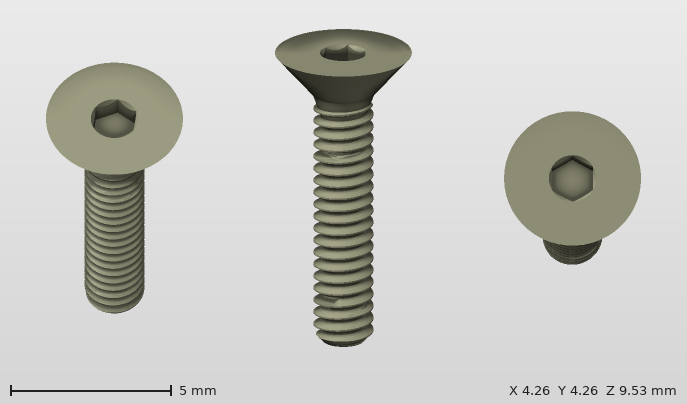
import cadquery as cq
import math

length = 9.53

head_radius = 2.13
head_angle = 82.0
head_bottom_z = 8.19
head_cone_drop = length - head_bottom_z
head_bottom_radius = head_radius - head_cone_drop * math.tan(math.radians(head_angle / 2))

neck_radius = 0.92
neck_z = 8.07
neck_end_z = 7.34

major_radius = 0.93
root_radius = 0.68
turns_per_length = 24
pitch = length / turns_per_length
crest_width = pitch / 8
full_turns = 19
first_crest_z = 0.33
thread_start_z = first_crest_z - 2 * pitch
thread_end_z = first_crest_z + full_turns * pitch
thread_embed = 0.04
flank_slope = math.tan(math.radians(30))

tip_radius = 0.64

core_overrun = 1.14
core_top_z = 8.58
trim_clearance = 0.1

neck_tip_z = 6.86
neck_slope = (neck_radius - root_radius) / (neck_z - neck_end_z)
neck_tip_radius = neck_radius - neck_slope * (neck_z - neck_tip_z)

core_seam_angle = 50
head_seam_angle = 95

socket_flats = 1.28
socket_corners = socket_flats / math.cos(math.radians(30))
socket_depth = 0.705
lead_in_depth = 0.13


def turn(points, seam_angle):
    """Revolve an (r, z) outline about Z, with the face seams at the given angle."""
    solid = cq.Workplane("XZ").polyline(points).close().revolve(360, (0, 0, 0), (0, 1, 0))
    return solid.rotate((0, 0, 0), (0, 0, 1), seam_angle)


def make_ridge():
    """Right-handed helical ridge that starts on the +X side, below the tip."""
    inner_radius = root_radius - thread_embed
    crest_half = crest_width / 2
    base_half = crest_half + (major_radius - inner_radius) * flank_slope
    path = cq.Wire.makeHelix(
        pitch, thread_end_z - thread_start_z, root_radius, cq.Vector(0, 0, thread_start_z)
    )
    return (
        cq.Workplane("XZ")
        .polyline([
            (inner_radius, thread_start_z - base_half),
            (major_radius, thread_start_z - crest_half),
            (major_radius, thread_start_z + crest_half),
            (inner_radius, thread_start_z + base_half),
        ])
        .close()
        .sweep(cq.Workplane(path), isFrenet=True)
    )


def make_shank():
    """Threaded core, trimmed flat at Z = 0 and chamfered at the tip."""
    core = (
        cq.Workplane("XY", origin=(0, 0, -core_overrun))
        .circle(root_radius)
        .extrude(core_overrun + core_top_z)
        .rotate((0, 0, 0), (0, 0, 1), core_seam_angle)
    )
    trim_radius = major_radius + trim_clearance
    envelope = turn(
        [(0, 0), (tip_radius, 0), (trim_radius, trim_radius - tip_radius), (trim_radius, length), (0, length)],
        head_seam_angle,
    )
    return core.union(make_ridge()).intersect(envelope)


def make_head():
    """Countersunk head and tapered neck; the neck tip is buried in the core."""
    return turn(
        [
            (0, neck_tip_z),
            (neck_tip_radius, neck_tip_z),
            (neck_radius, neck_z),
            (head_bottom_radius, head_bottom_z),
            (head_radius, length),
            (0, length),
        ],
        head_seam_angle,
    )


def make_socket():
    """Hexagonal recess, corners on the Y axis, with its lead-in cone."""
    hexagon = (
        cq.Workplane("XY", origin=(0, 0, length - socket_depth))
        .transformed(rotate=(0, 0, 90))
        .polygon(6, socket_corners)
        .extrude(socket_depth)
    )
    lead_in = cq.Workplane(cq.Solid.makeCone(
        socket_flats / 2, socket_corners / 2, lead_in_depth, cq.Vector(0, 0, length - lead_in_depth)
    ))
    return hexagon.union(lead_in)


result = make_shank().union(make_head()).cut(make_socket())